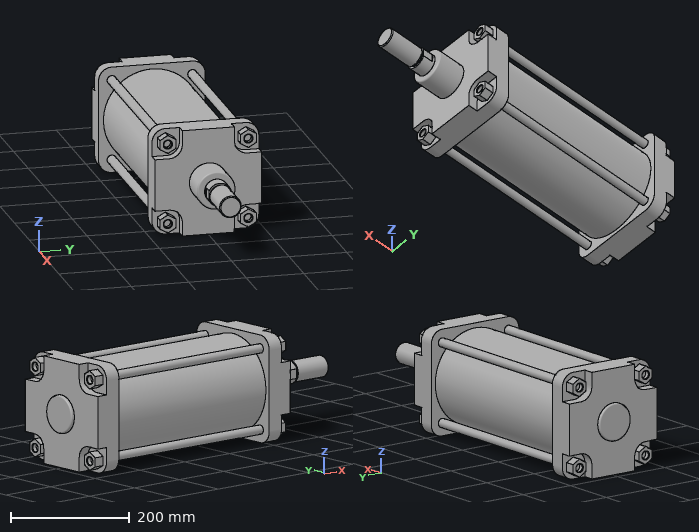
import cadquery as cq

TOTAL_LENGTH = 588.0

CAP_WIDTH = 186.0
CAP_THICKNESS = 47.0
TIE_OFFSET = 70.0
CAP_CORNER_RADIUS = CAP_WIDTH / 2 - TIE_OFFSET
POCKET_DEPTH = 19.5
POCKET_WIDTH = 47.5
POCKET_RADIUS = 23.0

BOSS_DIAMETER = 66.0
REAR_BOSS_LENGTH = 6.0
FRONT_BOSS_LENGTH = 54.5
BOSS_ROUND = 3.0

BARREL_DIAMETER = 169.0
BARREL_LENGTH = 336.5

TIE_DIAMETER = 16.0
NUT_HEIGHT = 17.5
NUT_ACROSS_CORNERS = 32.0
NUT_BORE_DIAMETER = 13.5
NUT_BORE_DEPTH = 9.0
NUT_BORE_CHAMFER = 1.0

ROD_DIAMETER = 41.0
ROD_COLLAR_LENGTH = 5.0
FLATS_LENGTH = 19.5
GROOVE_WIDTH = 3.5
GROOVE_DIAMETER = 33.0
THREAD_DIAMETER = 37.5
ACROSS_FLATS = THREAD_DIAMETER
THREAD_CHAMFER = 2.0

REAR_CAP_FACE = REAR_BOSS_LENGTH
BARREL_START = REAR_CAP_FACE + CAP_THICKNESS
BARREL_END = BARREL_START + BARREL_LENGTH
FRONT_CAP_FACE = BARREL_END + CAP_THICKNESS
FRONT_BOSS_END = FRONT_CAP_FACE + FRONT_BOSS_LENGTH
FLATS_START = FRONT_BOSS_END + ROD_COLLAR_LENGTH
FLATS_END = FLATS_START + FLATS_LENGTH
THREAD_START = FLATS_END + GROOVE_WIDTH

TIE_POSITIONS = [(y, z) for y in (-TIE_OFFSET, TIE_OFFSET) for z in (-TIE_OFFSET, TIE_OFFSET)]


def plane_at(x):
    """Workplane across the cylinder axis at the given X: local axes are Y and Z, extrusions run to +X."""
    return cq.Workplane("YZ", origin=(x, 0, 0))


def cylinder(start, end, diameter):
    """Round bar on the cylinder axis between two X stations."""
    return plane_at(start).circle(diameter / 2).extrude(end - start)


def make_cap(inner_face, outward, boss_length):
    """End cap with its boss; outward is the X direction (+1 or -1) from the barrel to the boss."""
    outer_face = inner_face + outward * CAP_THICKNESS
    plate = (
        plane_at(inner_face)
        .rect(CAP_WIDTH, CAP_WIDTH)
        .extrude(outward * CAP_THICKNESS)
        .edges("|X")
        .fillet(CAP_CORNER_RADIUS)
    )
    pockets = (
        plane_at(outer_face)
        .rect(CAP_WIDTH, CAP_WIDTH, forConstruction=True)
        .vertices()
        .rect(2 * POCKET_WIDTH, 2 * POCKET_WIDTH)
        .extrude(-outward * POCKET_DEPTH)
        .edges("|X")
        .fillet(POCKET_RADIUS)
    )
    tie_holes = (
        plane_at(inner_face)
        .pushPoints(TIE_POSITIONS)
        .circle(TIE_DIAMETER / 2)
        .extrude(outward * CAP_THICKNESS)
    )
    boss = (
        plane_at(outer_face)
        .circle(BOSS_DIAMETER / 2)
        .extrude(outward * boss_length)
        .faces(">X" if outward > 0 else "<X")
        .fillet(BOSS_ROUND)
    )
    return plate.cut(pockets).cut(tie_holes).union(boss)


def make_rear_cap():
    return make_cap(BARREL_START, -1, REAR_BOSS_LENGTH)


def make_front_cap():
    """Front cap, bored through for the piston rod."""
    rod_bore = cylinder(BARREL_END, FRONT_BOSS_END, ROD_DIAMETER)
    return make_cap(BARREL_END, 1, FRONT_BOSS_LENGTH).cut(rod_bore)


def make_barrel():
    return cylinder(BARREL_START, BARREL_END, BARREL_DIAMETER)


def make_piston_rod():
    """Rod from the barrel through the front cap, with wrench flats, a relief groove and a thread stub."""
    shank = cylinder(BARREL_END, FLATS_END, ROD_DIAMETER)
    beyond_flats = (
        plane_at(FLATS_START)
        .rect(2 * ROD_DIAMETER, 2 * ROD_DIAMETER)
        .rect(ACROSS_FLATS, 2 * ROD_DIAMETER)
        .extrude(FLATS_LENGTH)
    )
    groove_core = cylinder(FLATS_END, THREAD_START, GROOVE_DIAMETER)
    thread = cylinder(THREAD_START, TOTAL_LENGTH, THREAD_DIAMETER).faces(">X").chamfer(THREAD_CHAMFER)
    return shank.cut(beyond_flats).union(groove_core).union(thread)


def make_tie_rod(y, z):
    """Tie rod with a bored hexagon nut seated in the pocket at each end."""
    rear_seat = REAR_CAP_FACE + POCKET_DEPTH
    front_seat = FRONT_CAP_FACE - POCKET_DEPTH
    tie_rod = plane_at(rear_seat).center(y, z).circle(TIE_DIAMETER / 2).extrude(front_seat - rear_seat)
    for seat, outward in ((rear_seat, -1), (front_seat, 1)):
        nut = (
            plane_at(seat)
            .center(y, z)
            .transformed(rotate=(0, 0, 90))
            .polygon(6, NUT_ACROSS_CORNERS)
            .extrude(outward * NUT_HEIGHT)
        )
        bore = (
            plane_at(seat + outward * NUT_HEIGHT)
            .center(y, z)
            .circle(NUT_BORE_DIAMETER / 2)
            .extrude(-outward * NUT_BORE_DEPTH)
        )
        countersink = (
            plane_at(seat + outward * NUT_HEIGHT)
            .center(y, z)
            .circle(NUT_BORE_DIAMETER / 2 + NUT_BORE_CHAMFER)
            .workplane(offset=-outward * NUT_BORE_CHAMFER)
            .circle(NUT_BORE_DIAMETER / 2)
            .loft()
        )
        tie_rod = tie_rod.union(nut).cut(bore).cut(countersink)
    return tie_rod


rear_cap = make_rear_cap()
front_cap = make_front_cap()
barrel = make_barrel()
piston_rod = make_piston_rod()
tie_rods = [make_tie_rod(y, z) for y, z in TIE_POSITIONS]

result = cq.Compound.makeCompound([
    rear_cap.val(),
    front_cap.val(),
    barrel.val(),
    piston_rod.val(),
    *[tie_rod.val() for tie_rod in tie_rods],
])